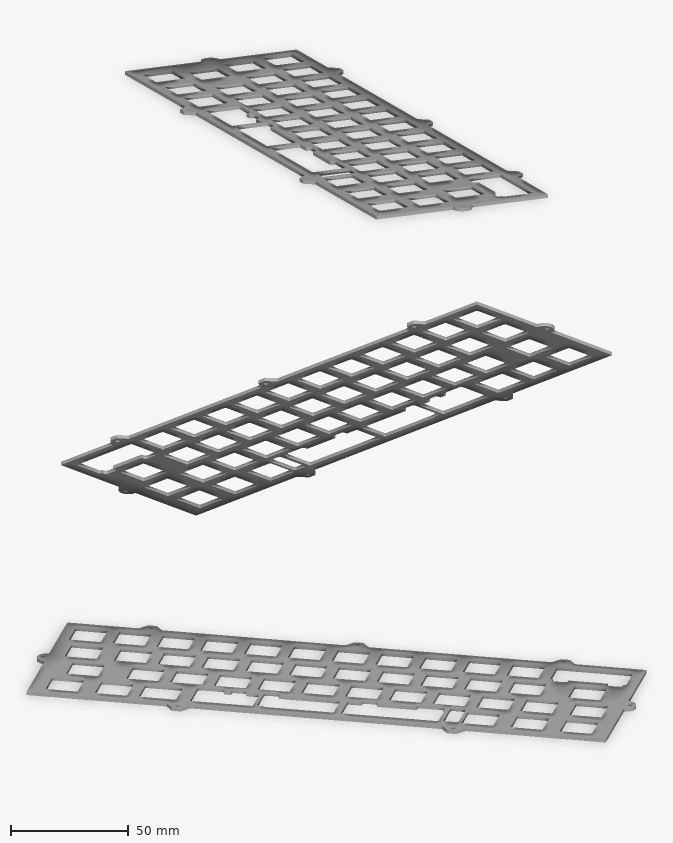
import cadquery as cq

LENGTH = 260.6
WIDTH = 89.1
THICKNESS = 1.5

KEY_UNIT = 19.05
KEYS_PER_ROW = 13
ROW_COUNT = 4
BORDER = 2.25
PLATE_X = KEYS_PER_ROW * KEY_UNIT + 2 * BORDER
PLATE_Y = ROW_COUNT * KEY_UNIT + 2 * BORDER

SWITCH = 14.0
SWITCH_CORNER = 0.5

ROW_1_KEYS = [1] * 11
ROW_2_KEYS = [1.25] + [1] * 10 + [1.75]
ROW_3_KEYS = [1.75] + [1] * 10 + [1.25]
ROW_4_LEFT_KEYS = [1.25, 1]
ROW_4_RIGHT_KEYS = [1.25, 1, 1.25]

SHARED_SWITCH_FIRST = 2.75
SHARED_SWITCH_LAST = 2.875

STABILISER_WIDTH = 6.8
STABILISER_REACH = 2.3
STABILISER_SETBACK = 0.65
STABILISER_CORNER = 1.3

BACKSPACE_X = (KEYS_PER_ROW / 2 - 1) * KEY_UNIT
BACKSPACE_LENGTH = 33.0
BACKSPACE_STABILISER_SPACING = 24.0

SPACE_BAR_SPANS = [(-56.0, -28.7), (-24.0, 6.5), (9.6, 52.0)]

SPACE_STABILISER_SPANS = [
    (-56.0, -44.3),
    (-41.2, -34.7),
    (-27.0, -20.3),
    (15.6, 22.5),
    (39.5, 51.3),
    (54.0, 60.7),
]

TAB_REACH_X = (LENGTH - PLATE_X) / 2
TAB_REACH_Y = (WIDTH - PLATE_Y) / 2
TAB_BASE = 10.2
TAB_TIP = 4.0
TAB_CORNER = 0.8
TOP_TAB_SPACING = 90.0
BOTTOM_TAB_SPACING = 120.0
TAB_HOLE = 2.0
TAB_HOLE_OFFSET = 1.7


def row_y(row):
    """Centre line of a key row, counted from 1 at the top."""
    return ((ROW_COUNT + 1) / 2 - row) * KEY_UNIT


def grid_x(units):
    """X of a place given in key units from the left end of the rows."""
    return (units - KEYS_PER_ROW / 2) * KEY_UNIT


def block(left, right, bottom, top, corner=0.0):
    """Plate-thick block, with rounded upright edges if a corner radius is given."""
    body = (
        cq.Workplane("XY")
        .center((left + right) / 2, (bottom + top) / 2)
        .rect(right - left, top - bottom)
        .extrude(THICKNESS)
    )
    if corner:
        body = body.edges("|Z").fillet(corner)
    return body


def key_centres(widths, row, start=0.0):
    """Centre points of neighbouring keys, from a start in key units."""
    points = []
    left = start
    for width in widths:
        points.append((grid_x(left + width / 2), row_y(row)))
        left += width
    return points


def cut_switches(plate):
    right_start = KEYS_PER_ROW - sum(ROW_4_RIGHT_KEYS)
    points = (
        key_centres(ROW_1_KEYS, 1)
        + key_centres(ROW_2_KEYS, 2)
        + key_centres(ROW_3_KEYS, 3)
        + key_centres(ROW_4_LEFT_KEYS, 4)
        + key_centres(ROW_4_RIGHT_KEYS, 4, right_start)
    )
    openings = (
        cq.Workplane("XY")
        .pushPoints(points)
        .rect(SWITCH, SWITCH)
        .extrude(THICKNESS)
        .edges("|Z")
        .fillet(SWITCH_CORNER)
    )
    return plate.cut(openings)


def cut_row_opening(plate, row, left, right):
    """Opening as tall as a switch, from left to right."""
    bottom = row_y(row) - SWITCH / 2
    return plate.cut(block(left, right, bottom, bottom + SWITCH, SWITCH_CORNER))


def cut_backspace(plate):
    half_length = BACKSPACE_LENGTH / 2
    plate = cut_row_opening(plate, 1, BACKSPACE_X - half_length, BACKSPACE_X + half_length)
    bottom = row_y(1) - SWITCH / 2 - STABILISER_REACH
    top = row_y(1) + SWITCH / 2 - STABILISER_SETBACK
    for side in (-1, 1):
        left = BACKSPACE_X + side * BACKSPACE_STABILISER_SPACING / 2 - STABILISER_WIDTH / 2
        plate = plate.cut(block(left, left + STABILISER_WIDTH, bottom, top, STABILISER_CORNER))
    return plate


def cut_space_bars(plate):
    shared_left = grid_x(SHARED_SWITCH_FIRST) - SWITCH / 2
    shared_right = grid_x(SHARED_SWITCH_LAST) + SWITCH / 2
    for left, right in [(shared_left, shared_right)] + SPACE_BAR_SPANS:
        plate = cut_row_opening(plate, 4, left, right)
    bottom = row_y(4) - SWITCH / 2 + STABILISER_SETBACK
    top = row_y(4) + SWITCH / 2 + STABILISER_REACH
    for left, right in SPACE_STABILISER_SPANS:
        plate = plate.cut(block(left, right, bottom, top, STABILISER_CORNER))
    return plate


def screw_hole(x, y):
    return cq.Workplane("XY").center(x, y).circle(TAB_HOLE / 2).extrude(THICKNESS)


def add_long_edge_tab(plate, x, side):
    """Round-cornered trapezoid tab with a hole; side is 1 for the +Y edge and -1 for the -Y edge."""
    edge_y = side * PLATE_Y / 2
    tip_y = edge_y + side * TAB_REACH_Y
    outline = [
        (x - TAB_BASE / 2, edge_y),
        (x - TAB_TIP / 2, tip_y),
        (x + TAB_TIP / 2, tip_y),
        (x + TAB_BASE / 2, edge_y),
    ]
    tab = cq.Workplane("XY").polyline(outline).close().extrude(THICKNESS)
    tip_face = ">Y" if side > 0 else "<Y"
    tab = tab.faces(tip_face).edges("|Z").fillet(TAB_CORNER)
    return plate.union(tab).cut(screw_hole(x, edge_y + side * TAB_HOLE_OFFSET))


def add_short_edge_tab(plate, side):
    """Half-disc tab with a hole; side is 1 for the +X edge and -1 for the -X edge."""
    edge_x = side * PLATE_X / 2
    hole_x = edge_x + side * TAB_HOLE_OFFSET
    tab = cq.Workplane("XY").center(edge_x, 0).circle(TAB_REACH_X).extrude(THICKNESS)
    return plate.union(tab).cut(screw_hole(hole_x, 0))


plate = block(-PLATE_X / 2, PLATE_X / 2, -PLATE_Y / 2, PLATE_Y / 2)

for position in (-1, 0, 1):
    plate = add_long_edge_tab(plate, position * TOP_TAB_SPACING, 1)
for side in (-1, 1):
    plate = add_long_edge_tab(plate, side * BOTTOM_TAB_SPACING / 2, -1)
    plate = add_short_edge_tab(plate, side)

plate = cut_switches(plate)
plate = cut_backspace(plate)
plate = cut_space_bars(plate)

result = plate